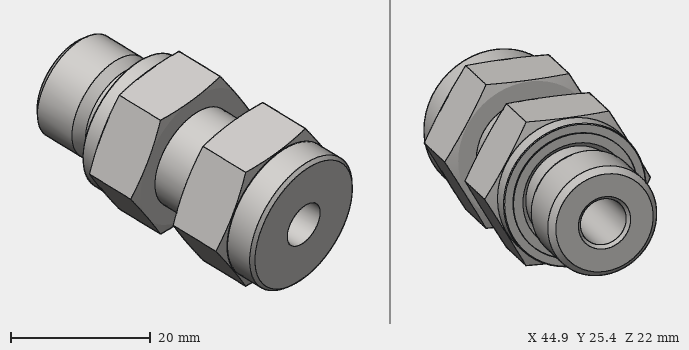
import cadquery as cq
import math


across_flats = 22.0
corner_radius = across_flats / 2 / math.cos(math.radians(30))
corner_chamfer_angle = 15.0

stud_radius = 8.35
stud_end_chamfer = 0.9
stud_taper_start = 7.6
relief_radius = 7.35
relief_start = 9.35

raised_face_start = 11.67
raised_face_radius = 9.5
collar_start = 11.95
collar_radius = 10.9
collar_edge_chamfer = 0.15
countersink_radius = 8.1
countersink_depth = countersink_radius - relief_radius

body_hex_start = 14.5
body_hex_end = 23.4
body_face_circle_radius = across_flats / 2
neck_radius = 8.05

nut_start = 30.65
nut_hex_end = 39.95
nut_face_circle_radius = 10.78
nut_end = 44.9
nut_end_chamfer = 0.55
neck_end = nut_hex_end

bore_radius = 3.5
mouth_radius = 4.0
mouth_depth = mouth_radius - bore_radius


def turned(profile):
    """Revolve a closed outline of (x, radius) points about the X axis."""
    return cq.Workplane("XY").polyline(profile).close().revolve(360, (0, 0, 0), (1, 0, 0))


def cylinder(start, end, radius):
    """Round bar on the X axis between two stations."""
    return cq.Workplane("YZ", origin=(start, 0, 0)).circle(radius).extrude(end - start)


def chamfered_hexagon(start, end, face_circle_radius):
    """Hexagon with flats at top and bottom, its corners turned off conically at both ends.

    Each cone starts from the face circle on an end face.
    """
    prism = (
        cq.Workplane("YZ", origin=(start, 0, 0))
        .polygon(6, 2 * corner_radius)
        .extrude(end - start)
    )
    outer_radius = 1.1 * corner_radius
    cone_length = (outer_radius - face_circle_radius) * math.tan(math.radians(corner_chamfer_angle))
    envelope = turned([
        (start, 0),
        (start, face_circle_radius),
        (start + cone_length, outer_radius),
        (end - cone_length, outer_radius),
        (end, face_circle_radius),
        (end, 0),
    ])
    return prism.intersect(envelope)


def make_body():
    """Threaded stud, sealing collar, hexagon and neck, with a bore through them."""
    stud_and_collar = turned([
        (0, 0),
        (0, stud_radius - stud_end_chamfer),
        (stud_end_chamfer, stud_radius),
        (stud_taper_start, stud_radius),
        (relief_start, relief_radius),
        (raised_face_start + countersink_depth, relief_radius),
        (raised_face_start, countersink_radius),
        (raised_face_start, raised_face_radius),
        (collar_start, raised_face_radius),
        (collar_start, collar_radius - collar_edge_chamfer),
        (collar_start + collar_edge_chamfer, collar_radius),
        (body_hex_start, collar_radius),
        (body_hex_start, 0),
    ])
    hexagon = chamfered_hexagon(body_hex_start, body_hex_end, body_face_circle_radius)
    neck = cylinder(body_hex_end, neck_end, neck_radius)
    bore = turned([
        (0, 0),
        (0, mouth_radius),
        (mouth_depth, bore_radius),
        (neck_end, bore_radius),
        (neck_end, 0),
    ])
    return stud_and_collar.union(hexagon).union(neck).cut(bore)


def make_nut():
    """Hexagon with a round rear collar, recessed to take the neck and bored through behind it."""
    hexagon = chamfered_hexagon(nut_start, nut_hex_end, nut_face_circle_radius)
    rear_collar = (
        cylinder(nut_hex_end, nut_end, collar_radius)
        .faces(">X")
        .chamfer(nut_end_chamfer)
    )
    neck_recess = cylinder(nut_start, neck_end, neck_radius)
    bore = cylinder(neck_end, nut_end, bore_radius)
    return hexagon.union(rear_collar).cut(neck_recess).cut(bore)


body = make_body()
nut = make_nut()

result = cq.Compound.makeCompound([body.val(), nut.val()])